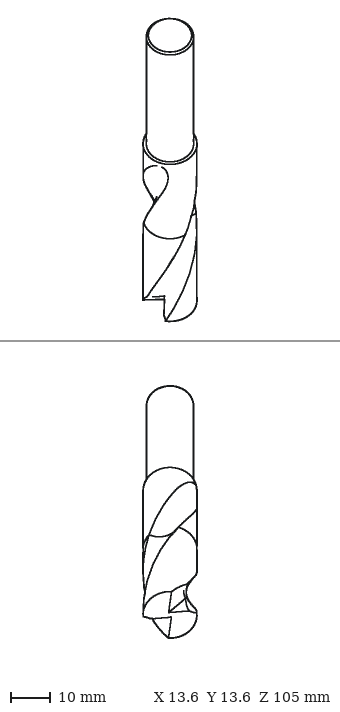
import cadquery as cq
import math

total_length = 105.0
body_diameter = 13.6
shank_diameter = 12.0
shank_chamfer = 0.5
shoulder_height = 62.2
joint_height = 32.8

flute_count = 2
flute_lead = 105.0
flute_radius = 5.6
root_radius = 4.1
flute_top_angle = 268.0
flute_height = 50.7
runout_height = 10.5
runout_rise = 1.4
runout_sections = 5

gash_size = 31.5
gash_rim = (-4.7, -4.9)
gash_root = (-0.7, -0.2)
gash_wall_end = (2.5, -4.4)
gash_floor_tilt = 33.0

flute_center = root_radius + flute_radius
body_radius = body_diameter / 2


def turned(shape, angle):
    """Turn a shape about the tool axis by an angle in degrees."""
    return shape.rotate((0, 0, 0), (0, 0, 1), angle)


def helical_flute():
    """Constant-depth part of the flute, ending at its upper angle."""
    twist = 360 * flute_height / flute_lead
    flute = cq.Workplane("XY").pushPoints([(flute_center, 0)]).circle(flute_radius)
    flute = flute.twistExtrude(flute_height, twist)
    return turned(flute, flute_top_angle - twist)


def flute_runout():
    """Upper flute end: runs straight on along the helix and curves outward."""
    sideways_slope = 2 * math.pi * flute_center / flute_lead
    wires = []
    for index in range(runout_sections):
        fraction = index / (runout_sections - 1)
        height = fraction * runout_height
        center = cq.Vector(
            flute_center + runout_rise * fraction**2,
            height * sideways_slope,
            flute_height + height,
        )
        wires.append(cq.Wire.makeCircle(flute_radius, center, cq.Vector(0, 0, 1)))
    runout = cq.Workplane(cq.Solid.makeLoft(wires))
    return turned(runout, flute_top_angle)


def half_space(point, normal):
    """Large block on the side of a plane to which its normal points."""
    block = cq.Workplane(cq.Plane(origin=point, normal=normal))
    return block.rect(2 * gash_size, 2 * gash_size).extrude(gash_size)


def end_gash():
    """Gash of the first flute: the space in front of the floor and beside the wall."""
    floor_run = (cq.Vector(*gash_root) - cq.Vector(*gash_rim)).normalized()
    wall_run = (cq.Vector(*gash_wall_end) - cq.Vector(*gash_root)).normalized()
    up = cq.Vector(0, 0, 1)
    tilt = math.radians(gash_floor_tilt)
    floor_normal = floor_run.cross(up) * math.cos(tilt) - up * math.sin(tilt)
    wall_normal = wall_run.cross(up)
    root = cq.Vector(*gash_root)
    return half_space(root, floor_normal).intersect(half_space(root, wall_normal))


def cut_around(body, cutter):
    """Cut one flute feature at every flute."""
    for index in range(flute_count):
        body = body.cut(turned(cutter, 360 * index / flute_count))
    return body


def make_cutting_tip():
    tip = cq.Workplane("XY").circle(body_radius).extrude(joint_height)
    tip = cut_around(tip, helical_flute())
    return cut_around(tip, end_gash())


def make_holder():
    holder = cq.Workplane("XY", origin=(0, 0, joint_height))
    holder = holder.circle(body_radius).extrude(shoulder_height - joint_height)
    shank = cq.Workplane("XY", origin=(0, 0, shoulder_height))
    shank = shank.circle(shank_diameter / 2).extrude(total_length - shoulder_height)
    shank = shank.faces(">Z").chamfer(shank_chamfer)
    holder = holder.union(shank)
    holder = cut_around(holder, helical_flute())
    return cut_around(holder, flute_runout())


cutting_tip = make_cutting_tip()
holder = make_holder()
result = cq.Compound.makeCompound([cutting_tip.solids().val(), holder.solids().val()])